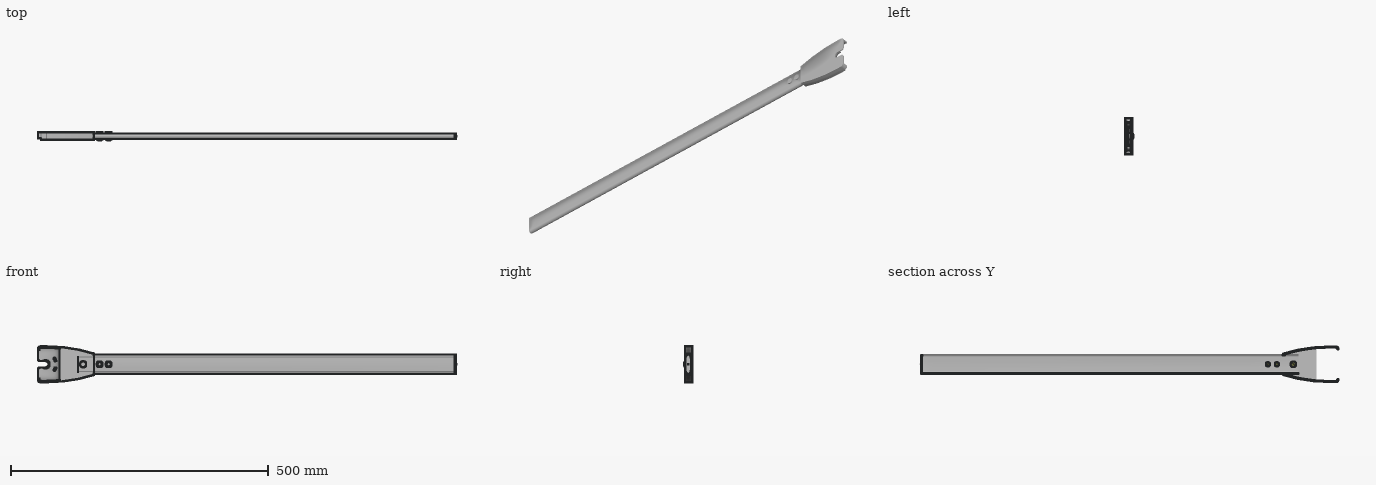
import cadquery as cq
import math

TOTAL_LENGTH = 812.6
TOTAL_DEPTH = 16.5

HEAD_LENGTH = 109.0
HEAD_DEPTH = 15.0
HEAD_HALF_HEIGHT = 35.0
HEAD_END_HALF_HEIGHT = 20.8
TAPER_START = 17.0
TIP_RADIUS = 6.0
BACK_PLATE = 2.5
COVER = 4.0
COVER_START = 42.5
RIM_WALL = 3.0
TIP_OPENING_HALF_HEIGHT = 28.0
TIP_RIM_DEPTH = 12.5

NOTCH_RADIUS = 6.0
NOTCH_CENTER_X = 15.0
NOTCH_MOUTH_RADIUS = 5.0
COLLAR_RADIUS = 8.0
RAISED_HEIGHT = 3.6
LUG_INNER_RADIUS = 19.0
LUG_OUTER_RADIUS = 22.0
LUG_START_ANGLE = 18.0
LUG_END_ANGLE = 36.0

BAR_START = 78.0
BAR_DEPTH = 11.2
BAR_HALF_HEIGHT = 19.0
BAR_BOW = 0.5
BAR_WALL = 2.0

CAP_THICKNESS = 2.6
NUB_LENGTH = 1.8
NUB_RADIUS = 0.6

PIN_X = 88.0
PIN_RADIUS = 6.0
RIVET_POSITIONS = (120.0, 137.5)
RIVET_SHANK_RADIUS = 4.5
RIVET_HEAD_RADIUS = 5.7

CAVITY_DEPTH = HEAD_DEPTH - BACK_PLATE - COVER
BAR_BACK_Y = -BACK_PLATE
BAR_FRONT_Y = BAR_BACK_Y - BAR_DEPTH
BAR_MIDDLE_Y = (BAR_BACK_Y + BAR_FRONT_Y) / 2
BAR_EDGE_RADIUS = BAR_DEPTH / 2 - BAR_BOW
BAR_FACE_HALF_HEIGHT = BAR_HALF_HEIGHT - BAR_EDGE_RADIUS
CAP_END = TOTAL_LENGTH - NUB_LENGTH
BAR_END = CAP_END - CAP_THICKNESS


def plane_at(back_y):
    """Sketch plane at back_y: local x is X, local y is Z, and extrusions go toward -Y."""
    return cq.Workplane("XZ", origin=(0, back_y, 0))


def disc(x, radius, back_y, depth):
    """Cylinder along Y, centred on the bar's axis."""
    return plane_at(back_y).center(x, 0).circle(radius).extrude(depth)


def tip_block(back_y, length, half_height):
    """Block that starts at the fork tip and reaches from back_y past the head's front."""
    return (
        plane_at(back_y)
        .rect(length, 2 * half_height)
        .extrude(HEAD_DEPTH)
        .translate((length / 2, 0, 0))
    )


def head_shape(back_y, depth, inset=0):
    """Solid of the head's outline, moved inward by inset on the tip and both sides."""
    taper_length = HEAD_LENGTH - TAPER_START
    drop = HEAD_HALF_HEIGHT - HEAD_END_HALF_HEIGHT
    outer_taper_radius = (taper_length**2 + drop**2) / (2 * drop)
    taper_radius = outer_taper_radius - inset
    center_z = HEAD_HALF_HEIGHT - outer_taper_radius
    half_height = HEAD_HALF_HEIGHT - inset

    def taper_point(share, side):
        run = share * taper_length
        return TAPER_START + run, side * (center_z + math.sqrt(taper_radius**2 - run**2))

    return (
        plane_at(back_y)
        .moveTo(inset, -half_height)
        .lineTo(TAPER_START, -half_height)
        .threePointArc(taper_point(0.5, -1), taper_point(1, -1))
        .lineTo(*taper_point(1, 1))
        .threePointArc(taper_point(0.5, 1), (TAPER_START, half_height))
        .lineTo(inset, half_height)
        .close()
        .extrude(depth)
        .edges("|Y and <X")
        .fillet(TIP_RADIUS - inset)
    )


def bar_shape(start_x, length, wall=0):
    """Solid of the bar's section, moved inward by wall."""
    edge_radius = BAR_EDGE_RADIUS - wall
    bow_depth = edge_radius + BAR_BOW
    half_height = BAR_FACE_HALF_HEIGHT + edge_radius
    diagonal = edge_radius * math.sqrt(0.5)
    diagonal_height = BAR_FACE_HALF_HEIGHT + diagonal
    return (
        cq.Workplane("YZ", origin=(start_x, BAR_MIDDLE_Y, 0))
        .moveTo(edge_radius, -BAR_FACE_HALF_HEIGHT)
        .threePointArc((bow_depth, 0), (edge_radius, BAR_FACE_HALF_HEIGHT))
        .threePointArc((diagonal, diagonal_height), (0, half_height))
        .threePointArc((-diagonal, diagonal_height), (-edge_radius, BAR_FACE_HALF_HEIGHT))
        .threePointArc((-bow_depth, 0), (-edge_radius, -BAR_FACE_HALF_HEIGHT))
        .threePointArc((-diagonal, -diagonal_height), (0, -half_height))
        .threePointArc((diagonal, -diagonal_height), (edge_radius, -BAR_FACE_HALF_HEIGHT))
        .close()
        .extrude(length)
    )


def lug(side):
    """Curved lug on the back plate, concentric with the notch's round end."""
    middle_angle = (LUG_START_ANGLE + LUG_END_ANGLE) / 2

    def point(radius, angle):
        turn = math.radians(angle)
        return NOTCH_CENTER_X + radius * math.cos(turn), side * radius * math.sin(turn)

    return (
        plane_at(-BACK_PLATE)
        .moveTo(*point(LUG_INNER_RADIUS, LUG_START_ANGLE))
        .lineTo(*point(LUG_OUTER_RADIUS, LUG_START_ANGLE))
        .threePointArc(point(LUG_OUTER_RADIUS, middle_angle), point(LUG_OUTER_RADIUS, LUG_END_ANGLE))
        .lineTo(*point(LUG_INNER_RADIUS, LUG_END_ANGLE))
        .threePointArc(point(LUG_INNER_RADIUS, middle_angle), point(LUG_INNER_RADIUS, LUG_START_ANGLE))
        .close()
        .extrude(RAISED_HEIGHT)
    )


def hollow_head():
    """Back plate, side rims and cover, before the notch and the bar's socket."""
    cavity = head_shape(-BACK_PLATE, CAVITY_DEPTH, RIM_WALL)
    uncovered = head_shape(-BACK_PLATE, HEAD_DEPTH, RIM_WALL).intersect(
        tip_block(0, COVER_START, HEAD_HALF_HEIGHT).translate((0, -BACK_PLATE, 0))
    )
    tip_opening = tip_block(-BACK_PLATE, TIP_RADIUS, TIP_OPENING_HALF_HEIGHT)
    low_rim = tip_block(-TIP_RIM_DEPTH, TIP_RADIUS, HEAD_HALF_HEIGHT)
    return head_shape(0, HEAD_DEPTH).cut(cavity).cut(uncovered).cut(tip_opening).cut(low_rim)


def make_head():
    head = hollow_head()
    head = head.union(disc(NOTCH_CENTER_X, COLLAR_RADIUS, 0, BACK_PLATE + RAISED_HEIGHT))
    for side in (-1, 1):
        head = head.union(lug(side))

    notch = tip_block(0, NOTCH_CENTER_X, NOTCH_RADIUS)
    notch = notch.union(disc(NOTCH_CENTER_X, NOTCH_RADIUS, 0, HEAD_DEPTH))
    head = head.cut(notch)
    for side in (-1, 1):
        mouth_corner = cq.selectors.NearestToPointSelector((0, -BACK_PLATE / 2, side * NOTCH_RADIUS))
        head = head.edges("|Y").edges(mouth_corner).fillet(NOTCH_MOUTH_RADIUS)

    socket = bar_shape(BAR_START, HEAD_LENGTH)
    pin_hole = disc(PIN_X, PIN_RADIUS, 0, HEAD_DEPTH)
    return head.cut(socket).cut(pin_hole)


def make_bar():
    length = BAR_END - BAR_START
    bar = bar_shape(BAR_START, length).cut(bar_shape(BAR_START, length, BAR_WALL))
    for x in RIVET_POSITIONS:
        bar = bar.cut(disc(x, RIVET_SHANK_RADIUS, 0, HEAD_DEPTH))
    return bar.cut(disc(PIN_X, PIN_RADIUS, 0, HEAD_DEPTH))


def make_cap():
    plate = bar_shape(BAR_END, CAP_THICKNESS)
    nub = cq.Workplane("YZ", origin=(CAP_END, BAR_MIDDLE_Y, 0)).circle(NUB_RADIUS).extrude(NUB_LENGTH)
    return plate.union(nub)


def make_pin():
    """Pin through head and bar, flush with both faces of the head."""
    return disc(PIN_X, PIN_RADIUS, 0, HEAD_DEPTH)


def make_rivet(x):
    """Rivet through the bar, with a flat head behind it and a domed head in front."""
    shank = disc(x, RIVET_SHANK_RADIUS, 0, -BAR_FRONT_Y)
    flat_head = disc(x, RIVET_HEAD_RADIUS, 0, BACK_PLATE)
    dome_height = TOTAL_DEPTH + BAR_FRONT_Y
    dome_radius = (RIVET_HEAD_RADIUS**2 + dome_height**2) / (2 * dome_height)
    dome = (
        cq.Workplane("XY")
        .sphere(dome_radius)
        .translate((x, dome_radius - TOTAL_DEPTH, 0))
        .intersect(disc(x, RIVET_HEAD_RADIUS, BAR_FRONT_Y, dome_height))
    )
    return shank.union(flat_head).union(dome)


head = make_head()
bar = make_bar()
cap = make_cap()
pin = make_pin()
rivets = [make_rivet(x) for x in RIVET_POSITIONS]
result = cq.Compound.makeCompound(
    [head.val(), bar.val(), cap.val(), pin.val(), *[rivet.val() for rivet in rivets]]
)